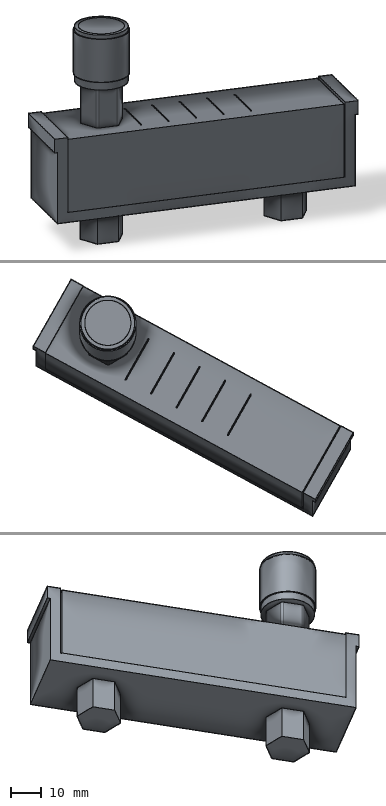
import cadquery as cq
import math

width = 25.4
overall_length = 104.85
overall_height = 73.23

foot_height = 11.43
hex_across_flats = 12.7
foot_spacing = 63.5

lip_overhang = 1.0
lip_height = 4.76
channel_height = 29.5
wall = 3.5

block_height = 25.4
end_gap = 0.4

slot_count = 5
slot_pitch = 9.5
slot_length = 15.5
slot_width = 0.3
slot_depth = 1.0
slot_row_center_y = -1.9

knob_height = 19.05
grip_diameter = 18.3
shoulder_diameter = 17.5
top_shoulder_height = 1.3
bottom_shoulder_height = 2.75
disc_diameter = 15.0
disc_thickness = top_shoulder_height
neck_corner_radius = 1.0

channel_length = overall_length - 2 * lip_overhang
cavity_length = channel_length - 2 * wall
block_length = cavity_length - end_gap
floor_top = foot_height + wall
block_top = floor_top + block_height
neck_height = overall_height - knob_height - block_top
knob_y = -foot_spacing / 2
hex_across_corners = hex_across_flats / math.cos(math.pi / 6)


def hex_prism(center_y, base_z, height):
    """Upright hexagon with corners toward -Y and +Y and flats toward -X and +X."""
    return (
        cq.Workplane("XY")
        .polygon(6, hex_across_corners)
        .extrude(height)
        .rotate((0, 0, 0), (0, 0, 1), 90)
        .translate((0, center_y, base_z))
    )


def knob_axis_cylinder(diameter, base_z, height):
    """Upright cylinder on the knob axis."""
    return cq.Workplane("XY", origin=(0, knob_y, base_z)).circle(diameter / 2).extrude(height)


def make_channel():
    """U profile in the YZ plane, with a lip along the top of each end wall."""
    channel_top = foot_height + channel_height
    lip_bottom = channel_top - lip_height
    half_inner = cavity_length / 2
    half_outer = channel_length / 2
    half_lip = overall_length / 2
    right_half = [
        (0, foot_height),
        (half_outer, foot_height),
        (half_outer, lip_bottom),
        (half_lip, lip_bottom),
        (half_lip, channel_top),
        (half_inner, channel_top),
        (half_inner, floor_top),
        (0, floor_top),
    ]
    return cq.Workplane("YZ").polyline(right_half).mirrorY().extrude(width / 2, both=True)


def make_block():
    """Plain bar against the -Y wall, with a row of narrow slots in its top."""
    block = (
        cq.Workplane("XY", origin=(0, -end_gap / 2, floor_top))
        .box(width, block_length, block_height, centered=(True, True, False))
    )
    slots = (
        cq.Workplane("XY", origin=(0, slot_row_center_y, block_top - slot_depth))
        .rarray(1, slot_pitch, 1, slot_count)
        .rect(slot_length, slot_width)
        .extrude(slot_depth)
    )
    return block.cut(slots)


def make_neck():
    """Hexagonal post with rounded corners, standing on the block."""
    return hex_prism(knob_y, block_top, neck_height).edges("|Z").fillet(neck_corner_radius)


def make_knob():
    """Round knob with a wider grip band and a recess for the top disc."""
    knob_base = overall_height - knob_height
    grip_height = knob_height - top_shoulder_height - bottom_shoulder_height
    core = knob_axis_cylinder(shoulder_diameter, knob_base, knob_height)
    grip = knob_axis_cylinder(grip_diameter, knob_base + bottom_shoulder_height, grip_height)
    return core.union(grip).cut(make_disc())


def make_disc():
    """Round insert flush with the top of the knob."""
    return knob_axis_cylinder(disc_diameter, overall_height - disc_thickness, disc_thickness)


channel = make_channel()
block = make_block()
feet = [hex_prism(side * foot_spacing / 2, 0, foot_height) for side in (-1, 1)]
neck = make_neck()
knob = make_knob()
disc = make_disc()

result = cq.Compound.makeCompound([
    channel.val(),
    block.val(),
    *[foot.val() for foot in feet],
    neck.val(),
    knob.val(),
    disc.val(),
])